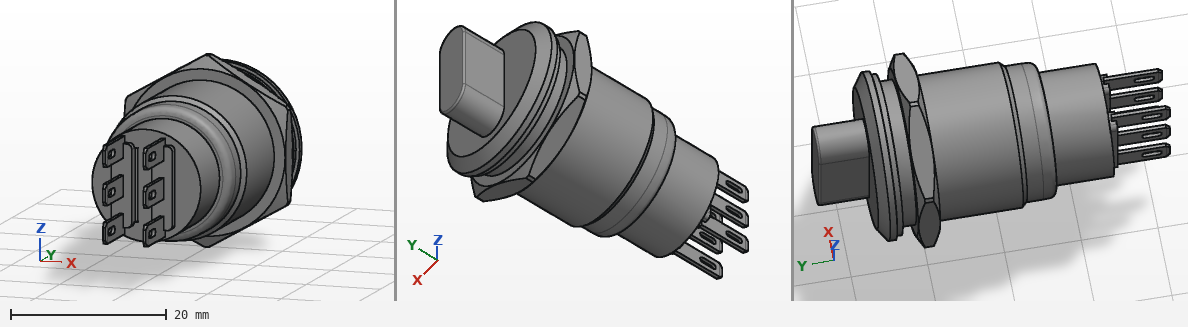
import cadquery as cq
import math

TOTAL_LENGTH = 45.7

HANDLE_WIDTH = 5.2
HANDLE_HEIGHT = 15.65
HANDLE_EDGE_FILLET = 0.27

BEZEL_DEPTH = 6.6
BEZEL_CONE_DEPTH = 7.8
BEZEL_DIAMETER = 22.0
BEZEL_RADIUS = BEZEL_DIAMETER / 2
BEZEL_FACE_RADIUS = 9.25
GASKET_DEPTH = 8.75
GASKET_RADIUS = 10.5

BARREL_DEPTH = 9.55
BARREL_RADIUS = 9.45
BARREL_CHAMFER_DEPTH = 25.4

NUT_DEPTH = 11.45
NUT_THICKNESS = 2.9
NUT_SIDES = 6
NUT_ACROSS_FLATS = BEZEL_DIAMETER
NUT_CORNER_RADIUS = 12.5
NUT_FACE_RADIUS = 10.9
NUT_BEVEL_LENGTH = 0.85

COLLAR_DEPTH = 26.05
COLLAR_RADIUS = 8.85
COLLAR_CURVE_DEPTH = 28.15
COLLAR_SHOULDER_DEPTH = 29.7
COLLAR_SHOULDER_RADIUS = 8.6
COLLAR_END_DEPTH = 30.05
COLLAR_END_RADIUS = 7.75

HOUSING_RADIUS = 7.35
HOUSING_END_DEPTH = 37.65

BAR_HEIGHT = 1.0
BAR_WIDTH = 2.75
BAR_LENGTH = 10.95
BAR_CORNER_RADIUS = 0.65
BAR_CENTERS_X = (-3.0, 2.45)

GROOVE_WIDTH = 0.5
GROOVE_DEPTH = 0.45

TERMINAL_DEPTH = 38.05
TERMINAL_THICKNESS = 0.5
TERMINAL_WIDTH = 2.8
TERMINAL_PITCH = 5.03
TERMINAL_ROWS = (-1, 0, 1)
TERMINAL_TIP_LENGTH = 0.55
TERMINAL_TIP_SETBACK = 0.55
TERMINAL_TIP_THINNING = 0.1
EYELET_START_DEPTH = 42.05
EYELET_LENGTH = 2.55
EYELET_WIDTH = 0.95


def plane_at(depth):
    """Work plane across the axis at a depth: local x is X, local y is Z, extrusion goes toward -Y."""
    return cq.Workplane("XZ").workplane(offset=depth)


def revolve_about_axis(outline):
    """Turn a closed outline, drawn in the XY plane with X as the radius, about the Y axis."""
    return outline.close().revolve(360, (0, 0, 0), (0, 1, 0))


def outline_through(stations):
    """Open outline in the XY plane through (radius, depth) stations."""
    return cq.Workplane("XY").polyline([(radius, -depth) for radius, depth in stations])


def make_body():
    """Bezel, gasket, barrel, collar and housing, turned about the Y axis."""
    outline = outline_through([
        (0, BEZEL_DEPTH),
        (BEZEL_FACE_RADIUS, BEZEL_DEPTH),
        (BEZEL_RADIUS, BEZEL_CONE_DEPTH),
        (BEZEL_RADIUS, GASKET_DEPTH),
        (GASKET_RADIUS, GASKET_DEPTH),
        (GASKET_RADIUS, BARREL_DEPTH),
        (BARREL_RADIUS, BARREL_DEPTH),
        (BARREL_RADIUS, BARREL_CHAMFER_DEPTH),
        (COLLAR_RADIUS, COLLAR_DEPTH),
        (COLLAR_RADIUS, COLLAR_CURVE_DEPTH),
    ])
    outline = outline.spline(
        [(COLLAR_SHOULDER_RADIUS, -COLLAR_SHOULDER_DEPTH), (COLLAR_END_RADIUS, -COLLAR_END_DEPTH)],
        tangents=[(0, -1), (-1, 0)],
        includeCurrent=True,
    )
    outline = (
        outline.lineTo(HOUSING_RADIUS, -COLLAR_END_DEPTH)
        .lineTo(HOUSING_RADIUS, -HOUSING_END_DEPTH)
        .lineTo(0, -HOUSING_END_DEPTH)
    )
    return revolve_about_axis(outline)


def make_handle():
    """Round-ended handle that reaches back into the bezel."""
    handle = plane_at(0).slot2D(HANDLE_HEIGHT, HANDLE_WIDTH, 90).extrude(GASKET_DEPTH)
    return handle.faces(">Y").edges().fillet(HANDLE_EDGE_FILLET)


def make_nut():
    """Hexagon with a corner at the top, trimmed by a cylinder with a cone at each end."""
    across_corners = NUT_ACROSS_FLATS / math.cos(math.pi / NUT_SIDES)
    corner_up = cq.Vector(0, 0, 180 / NUT_SIDES)
    hexagon = plane_at(NUT_DEPTH).transformed(rotate=corner_up).polygon(NUT_SIDES, across_corners)
    nut_end = NUT_DEPTH + NUT_THICKNESS
    envelope = outline_through([
        (0, NUT_DEPTH),
        (NUT_FACE_RADIUS, NUT_DEPTH),
        (NUT_CORNER_RADIUS, NUT_DEPTH + NUT_BEVEL_LENGTH),
        (NUT_CORNER_RADIUS, nut_end - NUT_BEVEL_LENGTH),
        (NUT_FACE_RADIUS, nut_end),
        (0, nut_end),
    ])
    return hexagon.extrude(NUT_THICKNESS).intersect(revolve_about_axis(envelope))


def make_bar(center_x):
    """Rounded bar on the end of the housing."""
    bar = plane_at(HOUSING_END_DEPTH).center(center_x, 0).rect(BAR_WIDTH, BAR_LENGTH).extrude(BAR_HEIGHT)
    return bar.edges("|Y").fillet(BAR_CORNER_RADIUS)


def tapered_outline(plane, width, setback):
    """Terminal outline on a plane whose local y is Y, each side stepping in by the setback over the tip."""
    tip_width = width - 2 * setback
    tip_start = -(TOTAL_LENGTH - TERMINAL_TIP_LENGTH)
    points = [
        (width / 2, -TERMINAL_DEPTH),
        (width / 2, tip_start),
        (tip_width / 2, -TOTAL_LENGTH),
        (-tip_width / 2, -TOTAL_LENGTH),
        (-width / 2, tip_start),
        (-width / 2, -TERMINAL_DEPTH),
    ]
    return plane.polyline(points).close()


def make_terminal(center_x, center_z):
    """Flat terminal with a tip beveled on all four sides and an eyelet through it along X."""
    across = tapered_outline(cq.Workplane("XY"), TERMINAL_THICKNESS, TERMINAL_TIP_THINNING)
    along = tapered_outline(cq.Workplane("ZY"), TERMINAL_WIDTH, TERMINAL_TIP_SETBACK)
    blade = across.extrude(TERMINAL_WIDTH, both=True).intersect(along.extrude(TERMINAL_THICKNESS, both=True))
    eyelet_y = -(EYELET_START_DEPTH + EYELET_LENGTH / 2)
    eyelet = (
        cq.Workplane("YZ", origin=(0, eyelet_y, 0))
        .slot2D(EYELET_LENGTH, EYELET_WIDTH)
        .extrude(TERMINAL_THICKNESS, both=True)
    )
    return blade.cut(eyelet).translate((center_x, 0, center_z))


def make_groove():
    """Narrow groove as long as the straight side of the left bar, directly beside it."""
    center_x = BAR_CENTERS_X[0] + (BAR_WIDTH + GROOVE_WIDTH) / 2
    length = BAR_LENGTH - 2 * BAR_CORNER_RADIUS
    start = plane_at(HOUSING_END_DEPTH - GROOVE_DEPTH).center(center_x, 0)
    return start.rect(GROOVE_WIDTH, length).extrude(GROOVE_DEPTH)


result = make_body().union(make_handle()).union(make_nut()).cut(make_groove())
for bar_x in BAR_CENTERS_X:
    result = result.union(make_bar(bar_x))
    for row in TERMINAL_ROWS:
        result = result.union(make_terminal(bar_x, row * TERMINAL_PITCH))